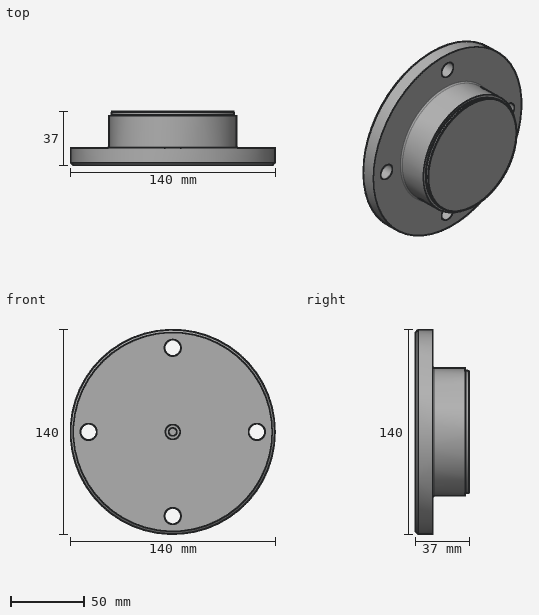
import cadquery as cq

flange_diameter = 140.0
flange_thickness = 12.0
flange_chamfer = 2.0

hub_diameter = 87.5
hub_length = 22.0
hub_root_fillet = 1.0

end_disc_diameter = 83.3
end_disc_thickness = 3.0
bead_diameter = 84.1
bead_width = 1.8

bolt_hole_diameter = 11.0
bolt_circle_diameter = 115.1
bolt_hole_count = 4

recess_diameter = 10.1
recess_depth = 1.0
pocket_diameter = 5.5
pocket_depth = 1.0


def disc(diameter, start, length):
    """Cylinder along Y, from Y = start to Y = start + length."""
    plane = cq.Workplane("XZ", origin=(0, start, 0))
    return plane.circle(diameter / 2).extrude(-length)


hub_end = flange_thickness + hub_length
flange = disc(flange_diameter, 0, flange_thickness).faces("<Y").edges().chamfer(flange_chamfer)
hub = disc(hub_diameter, flange_thickness, hub_length)
end_disc = disc(end_disc_diameter, hub_end, end_disc_thickness)

bead_start = hub_end + (end_disc_thickness - bead_width) / 2
bead_end = bead_start + bead_width
bead_middle = (bead_start + bead_end) / 2
rim_radius = end_disc_diameter / 2
bead = (
    cq.Workplane("XY")
    .moveTo(0, bead_start)
    .lineTo(rim_radius, bead_start)
    .threePointArc((bead_diameter / 2, bead_middle), (rim_radius, bead_end))
    .lineTo(0, bead_end)
    .close()
    .revolve(360, (0, 0, 0), (0, 1, 0))
)

body = flange.union(hub)
rear_face = body.faces("|Y").faces(cq.selectors.CenterNthSelector(cq.Vector(0, 1, 0), 1))
body = rear_face.edges(cq.selectors.RadiusNthSelector(0)).fillet(hub_root_fillet)
body = body.union(end_disc).union(bead)

bolt_holes = (
    cq.Workplane("XZ")
    .polarArray(bolt_circle_diameter / 2, 0, 360, bolt_hole_count)
    .circle(bolt_hole_diameter / 2)
    .extrude(-flange_thickness)
)

recess = disc(recess_diameter, 0, recess_depth)
pocket = disc(pocket_diameter, recess_depth, pocket_depth)

result = body.cut(bolt_holes).cut(recess).cut(pocket)